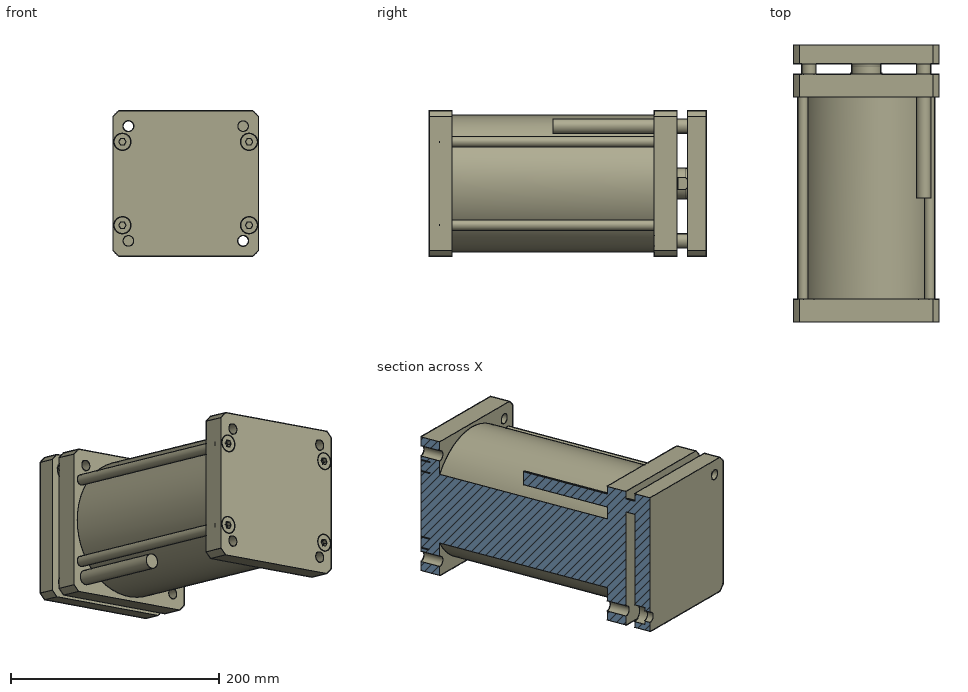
import cadquery as cq
import math

LENGTH = 266.0
PLATE_SIDE = 140.0
CORNER_DIAMETER = 190.0
END_CAP_THICKNESS = 22.0
TOOL_PLATE_THICKNESS = 18.0
PLATE_GAP = 9.8

BARREL_DIAMETER = 132.0

CORNER_PITCH = 110.0
CORNER_HOLE_DIAMETER = 10.0
SCREW_HEAD_BORE_DIAMETER = 17.0
SCREW_HEAD_BORE_DEPTH = 11.5
GUIDE_ROD_DIAMETER = 14.0
GUIDE_ROD_FREE_LENGTH = 97.0

TIE_ROD_DIAMETER = 10.0
TIE_ROD_PITCH_X = 121.5
TIE_ROD_PITCH_Z = 80.0
COUNTERBORE_DIAMETER = 16.5
HEAD_DIAMETER = 16.0
HEAD_HEIGHT = 10.0
SOCKET_ACROSS_FLATS = 6.0
SOCKET_DEPTH = 5.0

PISTON_ROD_DIAMETER = 30.0
WRENCH_WIDTH = 28.0
WRENCH_SHOULDER = 0.8
PISTON_ROD_CHAMFER_LENGTH = 1.9
PISTON_ROD_CHAMFER_DEPTH = 0.5

FRONT_Y = -LENGTH / 2
BARREL_START_Y = FRONT_Y + END_CAP_THICKNESS
TOOL_PLATE_Y = LENGTH / 2 - TOOL_PLATE_THICKNESS
REAR_CAP_END_Y = TOOL_PLATE_Y - PLATE_GAP
BARREL_END_Y = REAR_CAP_END_Y - END_CAP_THICKNESS


def workplane_at(y):
    """XZ sketch plane at the given Y, extruding toward +Y; its local x is -X."""
    return cq.Workplane(cq.Plane(origin=(0, y, 0), xDir=(-1, 0, 0), normal=(0, 1, 0)))


def rectangle_corners(pitch_x, pitch_z):
    """Four points of a centred rectangular pattern."""
    return [(sx * pitch_x / 2, sz * pitch_z / 2) for sx in (-1, 1) for sz in (-1, 1)]


def diagonal_corners(direction):
    """Two opposite corner positions; direction 1 takes +X+Z and -X-Z, direction -1 the others."""
    offset = CORNER_PITCH / 2
    return [(-offset, direction * offset), (offset, -direction * offset)]


def rods(points, diameter, start_y, end_y):
    """Round bars along Y at the given sketch points."""
    return workplane_at(start_y).pushPoints(points).circle(diameter / 2).extrude(end_y - start_y)


def plate(start_y, thickness):
    """Square plate with its four corners turned to a common circle and a hole near each corner."""
    body = workplane_at(start_y).rect(PLATE_SIDE, PLATE_SIDE).extrude(thickness)
    body = body.intersect(rods([(0, 0)], CORNER_DIAMETER, start_y, start_y + thickness))
    corners = rectangle_corners(CORNER_PITCH, CORNER_PITCH)
    return body.cut(rods(corners, CORNER_HOLE_DIAMETER, start_y, start_y + thickness))


def guide_rods():
    """Two rods on one diagonal, fixed to the tool plate and sliding through the rear cap."""
    return rods(diagonal_corners(1), GUIDE_ROD_DIAMETER, BARREL_END_Y - GUIDE_ROD_FREE_LENGTH, LENGTH / 2)


def piston_rod():
    """Short exposed rod end with a chamfered tip and a flat on each X side."""
    radius = PISTON_ROD_DIAMETER / 2
    tip_radius = radius - PISTON_ROD_CHAMFER_DEPTH
    chamfer_y = TOOL_PLATE_Y - PISTON_ROD_CHAMFER_LENGTH
    body = (
        cq.Workplane("XY")
        .moveTo(0, REAR_CAP_END_Y)
        .lineTo(radius, REAR_CAP_END_Y)
        .lineTo(radius, chamfer_y)
        .lineTo(tip_radius, TOOL_PLATE_Y)
        .lineTo(0, TOOL_PLATE_Y)
        .close()
        .revolve(360, (0, 0, 0), (0, 1, 0))
    )
    flats_y = REAR_CAP_END_Y + WRENCH_SHOULDER
    flats = (
        workplane_at(flats_y)
        .rect(2 * PISTON_ROD_DIAMETER, 2 * PISTON_ROD_DIAMETER)
        .rect(WRENCH_WIDTH, 2 * PISTON_ROD_DIAMETER)
        .extrude(PLATE_GAP)
    )
    return body.cut(flats)


def tie_rod_head_cuts(tie_rod_points):
    """Thin clearance rings and hexagon sockets to cut from the front cap."""
    rings = (
        workplane_at(FRONT_Y)
        .pushPoints(tie_rod_points)
        .circle(COUNTERBORE_DIAMETER / 2)
        .circle(HEAD_DIAMETER / 2)
        .extrude(HEAD_HEIGHT)
    )
    across_corners = SOCKET_ACROSS_FLATS / math.cos(math.pi / 6)
    sockets = (
        workplane_at(FRONT_Y)
        .pushPoints(tie_rod_points)
        .polygon(6, across_corners)
        .extrude(SOCKET_DEPTH)
    )
    return rings.union(sockets)


tie_rod_points = rectangle_corners(TIE_ROD_PITCH_X, TIE_ROD_PITCH_Z)
front_cap = plate(FRONT_Y, END_CAP_THICKNESS).cut(tie_rod_head_cuts(tie_rod_points))
rear_cap = plate(BARREL_END_Y, END_CAP_THICKNESS)
screw_head_bores = rods(
    diagonal_corners(-1), SCREW_HEAD_BORE_DIAMETER, TOOL_PLATE_Y, TOOL_PLATE_Y + SCREW_HEAD_BORE_DEPTH
)
tool_plate = plate(TOOL_PLATE_Y, TOOL_PLATE_THICKNESS).cut(screw_head_bores)
barrel = rods([(0, 0)], BARREL_DIAMETER, BARREL_START_Y, BARREL_END_Y)
tie_rods = rods(tie_rod_points, TIE_ROD_DIAMETER, BARREL_START_Y, BARREL_END_Y)

result = front_cap
for body in (barrel, tie_rods, rear_cap, tool_plate, guide_rods(), piston_rod()):
    result = result.union(body)